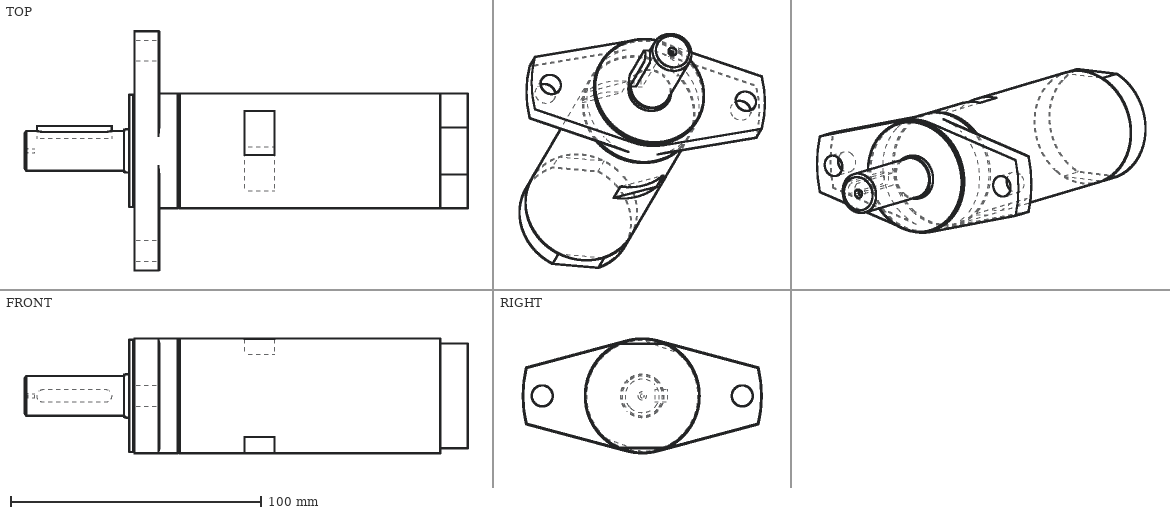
import math
import cadquery as cq

TOTAL_LENGTH = 177.5
BODY_DIAMETER = 46.0
PILOT_DIAMETER = 45.0

COLLAR_CONE_START = 39.9
COLLAR_START = 40.9
PILOT_START = 41.8
RELIEF_START = 43.5
FLANGE_START = 44.0
FLANGE_THICKNESS = 10.0
FRONT_JOINT = 61.7
WAIST_START = 88.0
WAIST_LENGTH = 12.0
REAR_END_LENGTH = 11.0

SHAFT_DIAMETER = 16.0
SHAFT_CHAMFER_LENGTH = 0.8
SHAFT_TIP_DIAMETER = 13.5
CENTRE_HOLE_DIAMETER = 1.6
CENTRE_SINK_DIAMETER = 3.35
CENTRE_SINK_ANGLE = 60.0
CENTRE_HOLE_DEPTH = 4.0
COLLAR_FRONT_DIAMETER = 16.95
COLLAR_DIAMETER = 17.5

KEY_START = 5.0
KEY_LENGTH = 30.0
KEY_WIDTH = 5.0
KEY_HEIGHT = 5.0
KEY_BOTTOM = 5.0

FLANGE_SPAN = 95.71
FLANGE_TAPER = 15.0
BOLT_SPACING = 80.0
BOLT_HOLE_DIAMETER = 8.3
FLANGE_CORNER_RADIUS = 0.5

JOINT_CHAMFER = 0.5
EDGE_CHAMFER = 0.3
RELIEF_DEPTH = 0.3
ACROSS_FLATS = 42.0
WAIST_FLAT_ANGLE = 70.0
REAR_FLAT_ANGLE = 90.0


def disc(start, end, diameter):
    """Cylinder about the X axis from X = start to X = end."""
    return cq.Workplane("YZ", origin=(start, 0, 0)).circle(diameter / 2).extrude(end - start)


def flatted_disc(start, end, flat_angle):
    """Body-size cylinder about X with two opposite flats whose normal is turned flat_angle from +Y."""
    length = end - start
    slab = cq.Workplane("XY").box(length, ACROSS_FLATS, BODY_DIAMETER)
    slab = slab.rotate((0, 0, 0), (1, 0, 0), flat_angle).translate((start + length / 2, 0, 0))
    return disc(start, end, BODY_DIAMETER).intersect(slab)


def flange_plate():
    """Lens-shaped plate: four edges tangent to the body and two round ends about the axis."""
    body_radius = BODY_DIAMETER / 2
    end_radius = FLANGE_SPAN / 2
    taper = math.radians(FLANGE_TAPER)
    tangent_y = body_radius * math.sin(taper)
    tangent_z = body_radius * math.cos(taper)
    corner_angle = math.pi / 2 - taper - math.acos(body_radius / end_radius)
    corner_y = end_radius * math.cos(corner_angle)
    corner_z = end_radius * math.sin(corner_angle)
    plate = (
        cq.Workplane("YZ", origin=(FLANGE_START, 0, 0))
        .moveTo(tangent_y, tangent_z)
        .lineTo(corner_y, corner_z)
        .threePointArc((end_radius, 0), (corner_y, -corner_z))
        .lineTo(tangent_y, -tangent_z)
        .lineTo(-tangent_y, -tangent_z)
        .lineTo(-corner_y, -corner_z)
        .threePointArc((-end_radius, 0), (-corner_y, corner_z))
        .lineTo(-tangent_y, tangent_z)
        .close()
        .extrude(FLANGE_THICKNESS)
    )
    corners = [(y, z) for y in (-corner_y, corner_y) for z in (-corner_z, corner_z)]
    for y, z in corners:
        nearest = cq.selectors.NearestToPointSelector((FLANGE_START + FLANGE_THICKNESS / 2, y, z))
        plate = plate.edges("|X").edges(nearest).fillet(FLANGE_CORNER_RADIUS)
    plate = plate.faces(">X").edges().chamfer(EDGE_CHAMFER)
    holes = (
        cq.Workplane("YZ", origin=(FLANGE_START, 0, 0))
        .pushPoints([(-BOLT_SPACING / 2, 0), (BOLT_SPACING / 2, 0)])
        .circle(BOLT_HOLE_DIAMETER / 2)
        .extrude(FLANGE_THICKNESS)
    )
    return plate.cut(holes)


def key_blank():
    """Round-ended parallel key, standing out of the +Y side of the shaft."""
    return (
        cq.Workplane("XZ", origin=(KEY_START + KEY_LENGTH / 2, KEY_BOTTOM, 0))
        .slot2D(KEY_LENGTH, KEY_WIDTH)
        .extrude(-KEY_HEIGHT)
    )


def shaft():
    """Plain shaft with a blunt tip chamfer and a 60 degree centre hole."""
    sink_depth = (CENTRE_SINK_DIAMETER - CENTRE_HOLE_DIAMETER) / 2
    sink_depth /= math.tan(math.radians(CENTRE_SINK_ANGLE / 2))
    half_profile = [
        (CENTRE_HOLE_DEPTH, 0),
        (CENTRE_HOLE_DEPTH, CENTRE_HOLE_DIAMETER / 2),
        (sink_depth, CENTRE_HOLE_DIAMETER / 2),
        (0, CENTRE_SINK_DIAMETER / 2),
        (0, SHAFT_TIP_DIAMETER / 2),
        (SHAFT_CHAMFER_LENGTH, SHAFT_DIAMETER / 2),
        (PILOT_START, SHAFT_DIAMETER / 2),
        (PILOT_START, 0),
    ]
    return cq.Workplane("XY").polyline(half_profile).close().revolve(360, (0, 0, 0), (1, 0, 0))


def collar():
    """Seal collar round the shaft, with a slightly tapered front."""
    half_profile = [
        (COLLAR_CONE_START, 0),
        (COLLAR_CONE_START, COLLAR_FRONT_DIAMETER / 2),
        (COLLAR_START, COLLAR_DIAMETER / 2),
        (PILOT_START, COLLAR_DIAMETER / 2),
        (PILOT_START, 0),
    ]
    return cq.Workplane("XY").polyline(half_profile).close().revolve(360, (0, 0, 0), (1, 0, 0))


def motor_body():
    waist_end = WAIST_START + WAIST_LENGTH
    rear_end_start = TOTAL_LENGTH - REAR_END_LENGTH
    sections = [
        disc(PILOT_START, RELIEF_START, PILOT_DIAMETER).faces("<X").chamfer(EDGE_CHAMFER),
        disc(RELIEF_START, FLANGE_START, PILOT_DIAMETER - 2 * RELIEF_DEPTH),
        disc(FLANGE_START, FRONT_JOINT, BODY_DIAMETER).faces(">X").chamfer(JOINT_CHAMFER),
        flange_plate(),
        disc(FRONT_JOINT, WAIST_START, BODY_DIAMETER).faces("<X").chamfer(JOINT_CHAMFER),
        flatted_disc(WAIST_START, waist_end, WAIST_FLAT_ANGLE),
        disc(waist_end, rear_end_start, BODY_DIAMETER).faces(">X").chamfer(EDGE_CHAMFER),
        flatted_disc(rear_end_start, TOTAL_LENGTH, REAR_FLAT_ANGLE).faces(">X").chamfer(EDGE_CHAMFER),
    ]
    body = shaft().union(collar())
    for section in sections:
        body = body.union(section)
    return body.cut(key_blank())


motor = motor_body()
key = key_blank()

result = cq.Compound.makeCompound([motor.val(), key.val()])